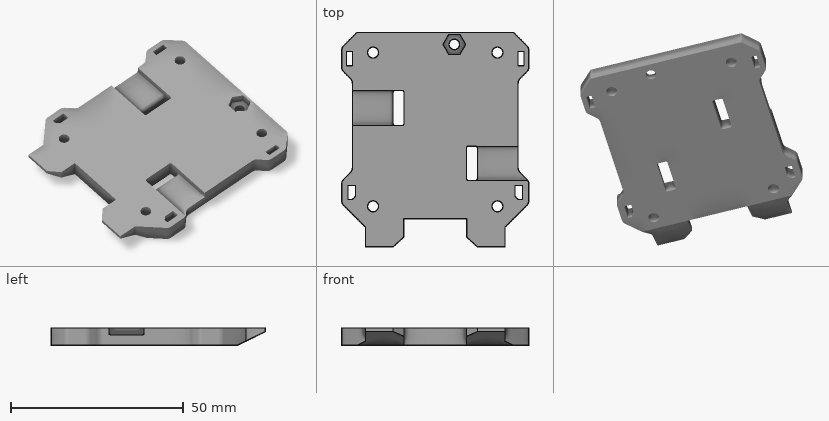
import cadquery as cq


length = 62.0
width = 54.2
thickness = 5.0
ear_half = width / 2
ear_step = 3.1
waist_half = ear_half - ear_step
ear_length = 6.3
back_chamfer = 4.45
back_half = ear_half - back_chamfer
back_ear_top = length - back_chamfer
back_ear_bottom = back_ear_top - ear_length
front_ear_bottom = 12.6
front_ear_top = front_ear_bottom + ear_length
outline_radius = 2.0

tab_outer = 20.2
tab_inner = 9.05
tab_root = front_ear_bottom - (ear_half - tab_outer)
notch_y = 8.05
tab_chamfer_x = 3.1
tab_chamfer_y = 2.85
tip_thickness = 1.05

screw_diameter = 3.1
screw_half_spacing = 18.0
screw_front_y = 11.7
screw_back_y = 56.2

nut_x = 5.5
nut_y = 58.55
nut_across_corners = 6.6
nut_depth = 2.55
nut_hole_diameter = 3.0

strap_length = 4.05
back_strap_width = 1.6
back_strap_top = length - 5.6
front_strap_inner = 23.1
front_strap_width = 2.1
front_strap_top = 17.75
front_strap_chamfer = 0.9

channel_depth = 2.0
channel_floor = thickness - channel_depth
channel_inner = tab_inner
channel_slot_width = 3.1
channel_corner_radius = 0.5
channel_lip_radius = 1.0
left_channel_front, left_channel_back = 35.1, 45.2
right_channel_front, right_channel_back = 19.2, 29.1

overshoot = 1.25


def plate():
    """Plate outline with four ears, a narrower waist and two front tabs."""
    right_side = [
        (back_half, length),
        (ear_half, back_ear_top),
        (ear_half, back_ear_bottom),
        (waist_half, back_ear_bottom - ear_step),
        (waist_half, front_ear_top + ear_step),
        (ear_half, front_ear_top),
        (ear_half, front_ear_bottom),
        (tab_outer, tab_root),
        (tab_outer, 0),
        (tab_inner + tab_chamfer_x, 0),
        (tab_inner, tab_chamfer_y),
        (tab_inner, notch_y),
    ]
    left_side = [(-x, y) for x, y in reversed(right_side)]
    body = cq.Workplane("XY").polyline(right_side + left_side).close().extrude(thickness)
    rounded_from = (back_half + waist_half) / 2
    ear_edges = body.edges("|Z").filter(lambda edge: abs(edge.Center().x) > rounded_from)
    return ear_edges.fillet(outline_radius)


def tab_wedge():
    """Material below the sloping underside of the tabs."""
    return (
        cq.Workplane("YZ")
        .polyline([(0, 0), (notch_y, 0), (0, thickness - tip_thickness)])
        .close()
        .extrude(ear_half, both=True)
    )


def screw_holes():
    """Four through holes, one beside each ear."""
    centers = [
        (x, y)
        for x in (-screw_half_spacing, screw_half_spacing)
        for y in (screw_front_y, screw_back_y)
    ]
    return cq.Workplane("XY").pushPoints(centers).circle(screw_diameter / 2).extrude(thickness)


def nut_pocket():
    """Hexagonal recess in the top with a through hole in its floor."""
    hexagon = (
        cq.Workplane("XY", origin=(nut_x, nut_y, thickness - nut_depth))
        .polygon(6, nut_across_corners)
        .extrude(nut_depth)
    )
    hole = cq.Workplane("XY").center(nut_x, nut_y).circle(nut_hole_diameter / 2).extrude(thickness)
    return hexagon.union(hole)


def strap_slots():
    """Through slots in the two right-hand ears."""
    back_slot = (
        cq.Workplane("XY")
        .center(waist_half + back_strap_width / 2, back_strap_top - strap_length / 2)
        .rect(back_strap_width, strap_length)
        .extrude(thickness)
    )
    front_slot = (
        cq.Workplane("XY")
        .center(front_strap_inner + front_strap_width / 2, front_strap_top - strap_length / 2)
        .rect(front_strap_width, strap_length)
        .extrude(thickness)
        .edges("|Z and <X and <Y")
        .chamfer(front_strap_chamfer)
    )
    return back_slot.union(front_slot)


def side_channel(front_y, back_y):
    """Channel from the right-hand side, dropping over a round lip into a through slot."""
    lip_x = channel_inner + channel_slot_width
    open_end = ear_half + overshoot
    section = [
        (channel_inner, -overshoot),
        (lip_x, -overshoot),
        (lip_x, channel_floor),
        (open_end, channel_floor),
        (open_end, thickness + overshoot),
        (channel_inner, thickness + overshoot),
    ]
    lip = cq.selectors.NearestToPointSelector((lip_x, (front_y + back_y) / 2, channel_floor))
    return (
        cq.Workplane("XZ", origin=(0, back_y, 0))
        .polyline(section)
        .close()
        .extrude(back_y - front_y)
        .edges("|Y")
        .edges(lip)
        .fillet(channel_lip_radius)
        .faces("<Y or >Y")
        .edges()
        .fillet(channel_corner_radius)
    )


right_straps = strap_slots()
right_channel = side_channel(right_channel_front, right_channel_back)
left_channel = side_channel(left_channel_front, left_channel_back).mirror("YZ")

result = (
    plate()
    .cut(tab_wedge())
    .cut(screw_holes())
    .cut(nut_pocket())
    .cut(right_straps)
    .cut(right_straps.mirror("YZ"))
    .cut(right_channel)
    .cut(left_channel)
)